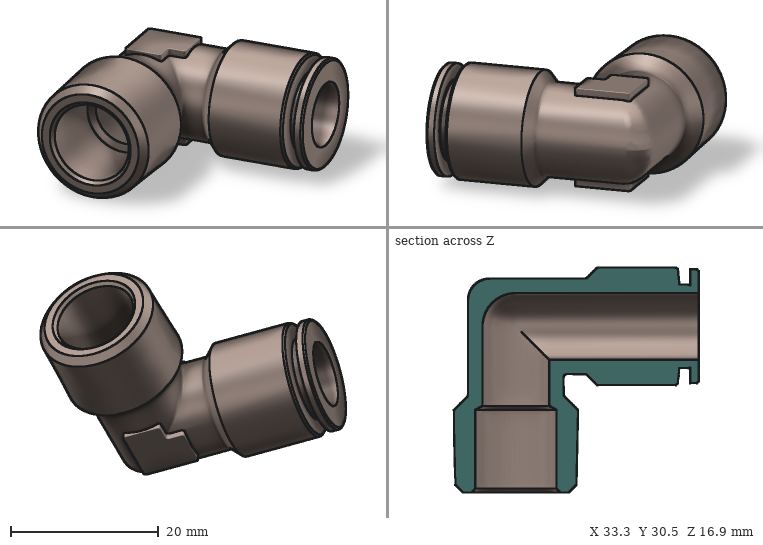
import cadquery as cq
import math

neck_dia = 13.0
neck_radius = neck_dia / 2
bore_dia = 9.0
bore_radius = bore_dia / 2
neck_fillet = 0.4
tolerance = 0.003

elbow_reach = 8.3
outer_corner_fillet = 2.95
inner_corner_fillet = 0.4

male_large_dia = 16.9
male_small_dia = 16.45
male_length = 22.5
male_shoulder = 11.35
male_land = 0.15
male_nose_length = 1.03
male_nose_dia = 14.4
mouth_dia = 12.05
socket_dia = 11.0
socket_floor_slope = 30

body_dia = 16.0
body_shoulder = 11.05
body_end = 21.98
body_edge_dia = 15.5
body_edge_length = 0.3
body_face_rise = 0.2
stem_dia = 11.4
stem_relief_length = 0.2
stem_relief_depth = 0.1
flange_dia = 15.5
flange_thickness = 1.2
flange_chamfer = 0.25
overall_length = 33.25
tube_end = overall_length - male_large_dia / 2

pad_near = 2.73
pad_far = 5.25
pad_height = 6.9
pad_corner_fillet = 0.4
pad_edge_fillet = 0.1


def revolved(profile):
    """Revolve (distance along axis, radius) points about the X axis."""
    return cq.Workplane("XY").polyline(profile).close().revolve(360, (0, 0, 0), (1, 0, 0))


def end_body(outline, shoulder, large_radius):
    """Revolve an end with a 45 degree shoulder cone blended into the neck."""
    cone_start = shoulder - (large_radius - neck_radius)
    neck_to_shoulder = [
        (elbow_reach, 0),
        (elbow_reach, neck_radius),
        (cone_start, neck_radius),
        (shoulder, large_radius),
    ]
    body = revolved(neck_to_shoulder + outline)
    root = cq.selectors.BoxSelector(
        (cone_start - tolerance, -neck_dia, -neck_dia),
        (cone_start + tolerance, neck_dia, neck_dia),
    )
    return body.edges(root).edges("%CIRCLE").fillet(neck_fillet)


def along_male_leg(solid):
    return solid.rotate((0, 0, 0), (0, 0, 1), -90)


def make_leg():
    """Make a neck cylinder along +X, cut at its far end by the mitre plane."""
    outline = [
        (-neck_radius, neck_radius),
        (elbow_reach, neck_radius),
        (elbow_reach, -neck_radius),
        (neck_radius, -neck_radius),
    ]
    wedge = cq.Workplane("XY").polyline(outline).close().extrude(neck_radius, both=True)
    cylinder = (
        cq.Workplane("YZ", origin=(-neck_radius, 0, 0))
        .circle(neck_radius)
        .extrude(elbow_reach + neck_radius)
    )
    return cylinder.intersect(wedge)


def is_mitre_edge(edge, side):
    """Tell whether an edge lies on the mitre plane x + y = 0, outside (-1) or inside (+1)."""
    points = [edge.positionAt(fraction) for fraction in (0, 0.3, 1)]
    return all(abs(point.x + point.y) < tolerance and side * point.x > 0 for point in points)


def make_elbow():
    """Join the mitred legs and pads, then round the two mitre corners clear of the pads."""
    leg = make_leg()
    elbow = leg.union(leg.mirror((1, 1, 0))).union(make_pads())
    for side, radius in ((-1, outer_corner_fillet), (1, inner_corner_fillet)):
        on_mitre = [edge for edge in elbow.edges().vals() if is_mitre_edge(edge, side)]
        elbow = elbow.newObject(on_mitre).fillet(radius)
    return elbow


def make_male_end():
    nose_start = male_length - male_nose_length
    outline = [
        (male_shoulder + male_land, male_large_dia / 2),
        (nose_start, male_small_dia / 2),
        (male_length, male_nose_dia / 2),
        (male_length, 0),
    ]
    return along_male_leg(end_body(outline, male_shoulder, male_large_dia / 2))


def make_tube_end():
    flange_start = tube_end - flange_thickness
    outline = [
        (body_end - body_edge_length, body_dia / 2),
        (body_end, body_edge_dia / 2),
        (body_end + body_face_rise, stem_dia / 2),
        (flange_start - stem_relief_length, stem_dia / 2),
        (flange_start, stem_dia / 2 - stem_relief_depth),
        (flange_start, flange_dia / 2),
        (tube_end - flange_chamfer, flange_dia / 2),
        (tube_end, flange_dia / 2 - flange_chamfer),
        (tube_end, 0),
    ]
    return end_body(outline, body_shoulder, body_dia / 2)


def make_pads():
    outline = [
        (-pad_near, pad_near),
        (pad_far, pad_near),
        (pad_far, -pad_near),
        (pad_near, -pad_near),
        (pad_near, -pad_far),
        (-pad_near, -pad_far),
    ]
    return (
        cq.Workplane("XY")
        .polyline(outline)
        .close()
        .extrude(pad_height, both=True)
        .edges("|Z")
        .fillet(pad_corner_fillet)
        .faces("|Z")
        .edges()
        .fillet(pad_edge_fillet)
    )


def make_passage():
    """Bore both legs, round the turn with a sphere and open the male end into a wider socket."""
    tube_bore = cq.Workplane("YZ").circle(bore_radius).extrude(tube_end)
    chamfer_start = male_length - (mouth_dia - socket_dia) / 2
    floor_drop = (socket_dia - bore_dia) / 2 * math.tan(math.radians(socket_floor_slope))
    male_bore = revolved([
        (0, 0),
        (0, bore_radius),
        (male_shoulder - floor_drop, bore_radius),
        (male_shoulder, socket_dia / 2),
        (chamfer_start, socket_dia / 2),
        (male_length, mouth_dia / 2),
        (male_length, 0),
    ])
    return cq.Workplane("XY").sphere(bore_radius).union(tube_bore).union(along_male_leg(male_bore))


result = (
    make_elbow()
    .union(make_male_end())
    .union(make_tube_end())
    .cut(make_passage())
)